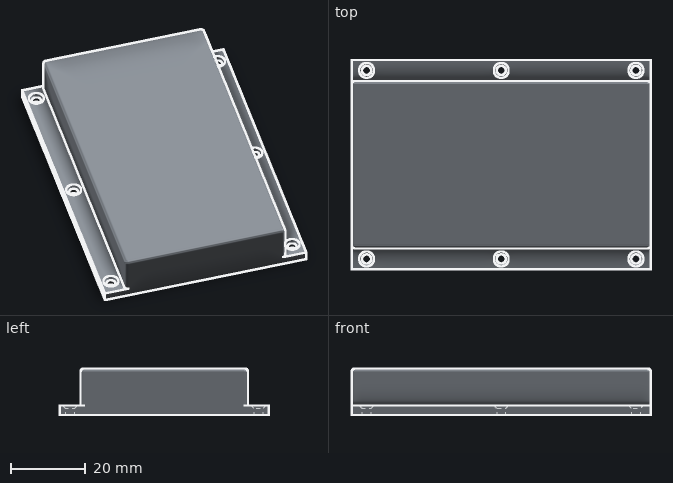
import cadquery as cq

length = 80.0
plate_width = 56.0
plate_thickness = 2.6
total_height = 12.5

body_width = 44.8
body_height = total_height - plate_thickness
edge_radius = 1.0

hole_diameter = 2.4
sink_diameter = 4.0
sink_angle = 90.0
hole_spacing_x = 36.0
hole_offset_y = (plate_width + body_width) / 4


def make_plate():
    """Rectangular base plate with its underside on Z = 0."""
    return cq.Workplane("XY").box(
        length, plate_width, plate_thickness, centered=(True, True, False)
    )


def make_body():
    """Closed block with rounded upright corners and rounded top edges."""
    block = (
        cq.Workplane("XY")
        .workplane(offset=plate_thickness)
        .rect(length, body_width)
        .extrude(body_height)
    )
    return block.edges("|Z or >Z").fillet(edge_radius)


def drill_mounting_holes(part):
    """Three countersunk through holes along each flange."""
    centres = [
        (column * hole_spacing_x, side * hole_offset_y)
        for column in (-1, 0, 1)
        for side in (-1, 1)
    ]
    return (
        part.faces(">Z")
        .workplane(origin=(0, 0, plate_thickness))
        .pushPoints(centres)
        .cskHole(hole_diameter, sink_diameter, sink_angle)
    )


plate = drill_mounting_holes(make_plate())
result = plate.union(make_body())